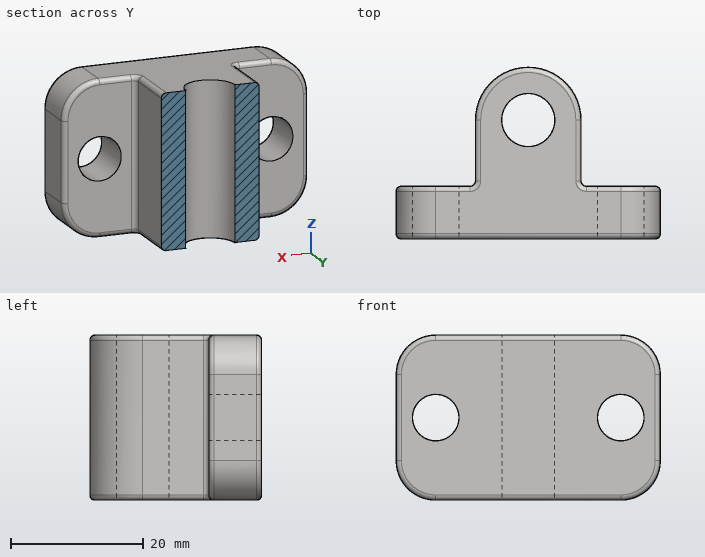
import cadquery as cq

plate_length = 40.0
plate_height = 25.0
plate_thickness = 8.0
plate_corner_radius = 6.0
screw_hole_diameter = 7.0
screw_hole_spacing = plate_length - 2 * plate_corner_radius

lug_width = 16.0
lug_radius = lug_width / 2
pivot_diameter = 8.0
pivot_y = 18.0

edge_radius = 0.8
inner_corner_radius = 0.8


def make_plate():
    """Rounded plate with its front face on Y = 0, centred on X and Z."""
    block = cq.Workplane("XY").box(
        plate_length, plate_thickness, plate_height, centered=(True, False, True)
    )
    return block.edges("|Y").fillet(plate_corner_radius)


def make_lug():
    """Round-ended lug as tall as the plate."""
    return (
        cq.Workplane("XY")
        .moveTo(-lug_radius, 0)
        .lineTo(lug_radius, 0)
        .lineTo(lug_radius, pivot_y)
        .threePointArc((0, pivot_y + lug_radius), (-lug_radius, pivot_y))
        .close()
        .extrude(plate_height / 2, both=True)
    )


def round_edges(body):
    """Blend the lug into the plate, then round the front and back rims."""
    for side in (-1, 1):
        corner = cq.selectors.NearestToPointSelector((side * lug_radius, plate_thickness, 0))
        body = body.edges(corner).fillet(inner_corner_radius)
    front_rim = body.faces("<Y").edges(">Z")
    body = front_rim.fillet(edge_radius)
    plate_end = cq.selectors.NearestToPointSelector((plate_length / 2, plate_thickness, 0))
    return body.edges(plate_end).fillet(edge_radius)


def cut_holes(body):
    """Pivot hole along Z and two screw holes along Y, all through."""
    pivot = cq.Workplane("XY").center(0, pivot_y).circle(pivot_diameter / 2)
    screws = (
        cq.Workplane("XZ")
        .pushPoints([(-screw_hole_spacing / 2, 0), (screw_hole_spacing / 2, 0)])
        .circle(screw_hole_diameter / 2)
    )
    body = body.cut(pivot.extrude(plate_height, both=True))
    return body.cut(screws.extrude(plate_thickness * 2, both=True))


result = cut_holes(round_edges(make_plate().union(make_lug())))